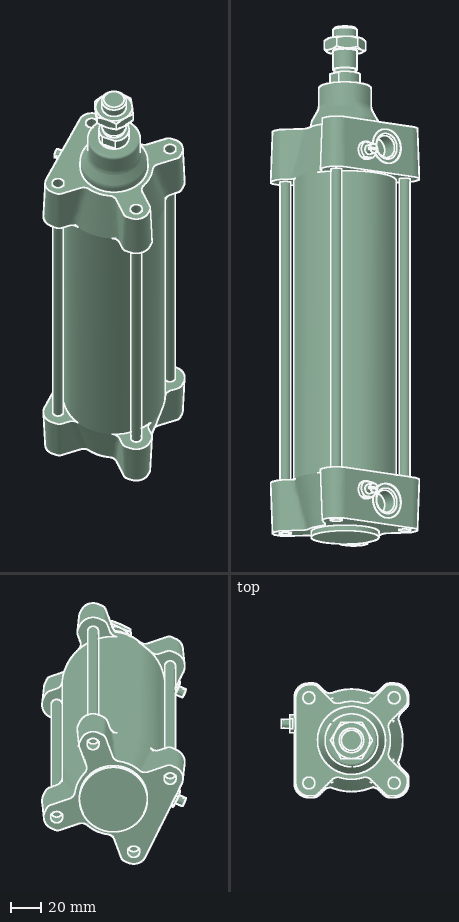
import cadquery as cq
import math

TOTAL_HEIGHT = 344.0
PILOT_HEIGHT = 3.8
HEAD_HEIGHT = 34.0
UPPER_HEAD_BASE = 240.8
UPPER_HEAD_TOP = UPPER_HEAD_BASE + HEAD_HEIGHT
LOWER_HEAD_TOP = PILOT_HEIGHT + HEAD_HEIGHT
MID_HEIGHT = (UPPER_HEAD_TOP + PILOT_HEIGHT) / 2

HEAD_WIDTH = 76.0
HEAD_HALF = HEAD_WIDTH / 2
HEAD_DRAFT = 2.0
TIE_ROD_OFFSET = 28.2
CORNER_RADIUS = HEAD_HALF - TIE_ROD_OFFSET
SHOULDER_START = 25.5
SHOULDER_RADIUS = 5.5
DOME_RADIUS_END = 25.8
WEB_FILLET = 5.0
SCREW_HOLE_DIAMETER = 8.0
SCREW_HOLE_DEPTH = 12.0

TUBE_DIAMETER = 68.0
TIE_ROD_DIAMETER = 7.2

PORT_Y = -7.0
PORT_RISE = 18.2
PORT_DIAMETER = 14.8
PORT_DEPTH = 12.0
PORT_CHAMFER = 1.2
SPOTFACE_DIAMETER = 23.0
SPOTFACE_FLOOR = 36.8
SCREW_Y = 11.0
SCREW_RISE = 13.0
OVERALL_WIDTH = 84.5
SCREW_REACH = OVERALL_WIDTH - HEAD_HALF
COLLAR_DIAMETER = 12.0
COLLAR_REACH = 41.0
COLLAR_FLATS = 10.0
COLLAR_FLATS_LENGTH = 2.0
TIP_DIAMETER = 6.2
SLOT_WIDTH = 1.0
SLOT_DEPTH = 1.7

PILOT_DIAMETER = 45.0
NOSE_DIAMETER = 35.0
NOSE_TOP = 304.5
NOSE_EDGE_RADIUS = 2.0
CONE_TOP = 289.0
CONE_BASE = 280.0
CONE_TOP_RADIUS = 6.2
CONE_BASE_RADIUS = 4.8

ROD_DIAMETER = 20.0
ROD_TOP = 312.7
ROD_FLATS = 17.5
FLATS_BASE = NOSE_TOP + 0.7
NECK_DIAMETER = 14.0
THREAD_DIAMETER = 16.0
THREAD_BASE = 315.8
THREAD_CHAMFER = 1.5

NUT_BASE = 328.2
NUT_HEIGHT = 8.0
NUT_FLATS = 24.0
NUT_CORNERS = NUT_FLATS / math.cos(math.pi / 6)
NUT_CHAMFER_ANGLE = 30

TIE_ROD_POINTS = [(x * TIE_ROD_OFFSET, y * TIE_ROD_OFFSET) for x in (-1, 1) for y in (-1, 1)]


def cylinder(diameter, bottom, top):
    """Cylinder on the Z axis between two heights."""
    return cq.Workplane("XY").workplane(offset=bottom).circle(diameter / 2).extrude(top - bottom)


def side_cylinder(diameter, y, z, inner, outer):
    """Cylinder along -X, between two distances from the axis."""
    return cq.Workplane("YZ", origin=(-outer, y, z)).circle(diameter / 2).extrude(outer - inner)


def taper_angle(base, end):
    """Draft angle that shrinks a half width from base to end over one head height."""
    return math.degrees(math.atan((base - end) / HEAD_HEIGHT))


def head_outline():
    """Square with round corners and a 90 degree notch in the -Y, +X and +Y sides."""
    diagonal = math.sqrt(0.5)
    shoulder_drop = SHOULDER_RADIUS * (1 - diagonal)
    shoulder_end = SHOULDER_START - SHOULDER_RADIUS * diagonal
    shoulder_mid = SHOULDER_START - SHOULDER_RADIUS * math.sin(math.pi / 8)
    shoulder_mid_drop = SHOULDER_RADIUS * (1 - math.cos(math.pi / 8))
    notch_depth = shoulder_drop + shoulder_end
    corner_mid = TIE_ROD_OFFSET + CORNER_RADIUS * diagonal

    outline = cq.Workplane("XY").moveTo(-TIE_ROD_OFFSET, -HEAD_HALF)
    for quarter in range(3):
        cos, sin = round(math.cos(quarter * math.pi / 2)), round(math.sin(quarter * math.pi / 2))

        def at(along, drop):
            out = drop - HEAD_HALF
            return (along * cos - out * sin, along * sin + out * cos)

        outline = (
            outline.lineTo(*at(-SHOULDER_START, 0))
            .threePointArc(at(-shoulder_mid, shoulder_mid_drop), at(-shoulder_end, shoulder_drop))
            .lineTo(*at(0, notch_depth))
            .lineTo(*at(shoulder_end, shoulder_drop))
            .threePointArc(at(shoulder_mid, shoulder_mid_drop), at(SHOULDER_START, 0))
            .lineTo(*at(TIE_ROD_OFFSET, 0))
            .threePointArc(at(corner_mid, HEAD_HALF - corner_mid), at(HEAD_HALF, CORNER_RADIUS))
        )
    return (
        outline.lineTo(-HEAD_HALF, -TIE_ROD_OFFSET)
        .threePointArc((-corner_mid, -corner_mid), (-TIE_ROD_OFFSET, -HEAD_HALF))
        .close()
    )


def head_block():
    """Four-armed head, rising from its tube-side face at Z = 0."""
    arms = head_outline().extrude(HEAD_HEIGHT, taper=HEAD_DRAFT)
    dome = (
        cq.Workplane("XY")
        .circle(TUBE_DIAMETER / 2)
        .extrude(HEAD_HEIGHT, taper=taper_angle(TUBE_DIAMETER / 2, DOME_RADIUS_END))
    )
    screw_holes = (
        cq.Workplane("XY", origin=(0, 0, HEAD_HEIGHT - SCREW_HOLE_DEPTH))
        .pushPoints(TIE_ROD_POINTS)
        .circle(SCREW_HOLE_DIAMETER / 2)
        .extrude(SCREW_HOLE_DEPTH)
    )
    block = arms.union(dome)
    return block.edges("%HYPERBOLA").fillet(WEB_FILLET).cut(screw_holes)


def air_port():
    """Spotfaced and chamfered blind port, as a cutting shape."""
    spotface = side_cylinder(SPOTFACE_DIAMETER, PORT_Y, PORT_RISE, SPOTFACE_FLOOR, HEAD_HALF)
    bore = side_cylinder(
        PORT_DIAMETER, PORT_Y, PORT_RISE, SPOTFACE_FLOOR - PORT_DEPTH, SPOTFACE_FLOOR
    )
    countersink = (
        cq.Workplane("YZ", origin=(-SPOTFACE_FLOOR, PORT_Y, PORT_RISE))
        .circle(PORT_DIAMETER / 2 + PORT_CHAMFER)
        .extrude(PORT_CHAMFER, taper=45)
    )
    return spotface.union(bore).union(countersink)


def cushion_screw():
    """Collar with two wrench flats and slotted tip of the cushioning screw."""
    collar = side_cylinder(COLLAR_DIAMETER, SCREW_Y, SCREW_RISE, SPOTFACE_FLOOR, COLLAR_REACH)
    for side in (-1, 1):
        flat_z = SCREW_RISE + side * (COLLAR_FLATS + COLLAR_DIAMETER) / 2
        flat = (
            cq.Workplane("YZ", origin=(-COLLAR_REACH, SCREW_Y, flat_z))
            .rect(COLLAR_DIAMETER, COLLAR_DIAMETER)
            .extrude(COLLAR_FLATS_LENGTH)
        )
        collar = collar.cut(flat)
    tip = side_cylinder(TIP_DIAMETER, SCREW_Y, SCREW_RISE, SPOTFACE_FLOOR, SCREW_REACH)
    slot = (
        cq.Workplane("YZ", origin=(-SCREW_REACH, SCREW_Y, SCREW_RISE))
        .rect(TIP_DIAMETER, SLOT_WIDTH)
        .extrude(SLOT_DEPTH)
    )
    return collar.union(tip.cut(slot))


def nose():
    """Stepped nose on the upper head: collar, filleted cone and cylindrical neck."""
    collar_radius = PILOT_DIAMETER / 2
    nose_radius = NOSE_DIAMETER / 2
    body = (
        cq.Workplane("XZ")
        .moveTo(0, UPPER_HEAD_TOP)
        .lineTo(collar_radius, UPPER_HEAD_TOP)
        .lineTo(collar_radius, CONE_BASE)
        .lineTo(nose_radius, CONE_TOP)
        .lineTo(nose_radius, NOSE_TOP)
        .lineTo(0, NOSE_TOP)
        .close()
        .revolve(360, (0, 0, 0), (0, 1, 0))
    )
    return (
        body.faces("%CONE").edges(">Z").fillet(CONE_TOP_RADIUS)
        .faces("%CONE").edges("<Z").fillet(CONE_BASE_RADIUS)
        .faces(">Z").edges().fillet(NOSE_EDGE_RADIUS)
    )


def make_housing():
    """Tube, tie rods, both heads, nose and pilot, with a blind bore for the piston rod."""
    head = head_block().cut(air_port()).union(cushion_screw())
    upper_head = head.translate((0, 0, UPPER_HEAD_BASE))
    lower_head = upper_head.mirror("XY", (0, 0, MID_HEIGHT))
    tie_rods = (
        cq.Workplane("XY", origin=(0, 0, LOWER_HEAD_TOP))
        .pushPoints(TIE_ROD_POINTS)
        .circle(TIE_ROD_DIAMETER / 2)
        .extrude(UPPER_HEAD_BASE - LOWER_HEAD_TOP)
    )
    return (
        cylinder(TUBE_DIAMETER, LOWER_HEAD_TOP, UPPER_HEAD_BASE)
        .union(upper_head)
        .union(lower_head)
        .union(tie_rods)
        .union(cylinder(PILOT_DIAMETER, 0, PILOT_HEIGHT))
        .union(nose())
        .cut(cylinder(ROD_DIAMETER, UPPER_HEAD_BASE, NOSE_TOP))
    )


def make_piston_rod():
    """Rod with two wrench flats, an undercut neck and a threaded end."""
    shaft = cylinder(ROD_DIAMETER, UPPER_HEAD_BASE, ROD_TOP)
    flats_height = ROD_TOP - FLATS_BASE
    for side in (-1, 1):
        flat = (
            cq.Workplane("XY", origin=(0, side * (ROD_FLATS + ROD_DIAMETER) / 2, FLATS_BASE))
            .rect(ROD_DIAMETER, ROD_DIAMETER)
            .extrude(flats_height)
        )
        shaft = shaft.cut(flat)
    neck = cylinder(NECK_DIAMETER, ROD_TOP, THREAD_BASE)
    thread = cylinder(THREAD_DIAMETER, THREAD_BASE, TOTAL_HEIGHT).faces(">Z").chamfer(THREAD_CHAMFER)
    return shaft.union(neck).union(thread)


def make_lock_nut():
    """Hexagon nut, corners along X, with conical chamfers on both ends."""
    corner_radius = NUT_CORNERS / 2
    flat_radius = NUT_FLATS / 2
    chamfer_drop = (corner_radius - flat_radius) * math.tan(math.radians(NUT_CHAMFER_ANGLE))
    hexagon = cq.Workplane("XY").polygon(6, NUT_CORNERS).extrude(NUT_HEIGHT)
    turned_blank = (
        cq.Workplane("XZ")
        .moveTo(0, 0)
        .lineTo(flat_radius, 0)
        .lineTo(corner_radius, chamfer_drop)
        .lineTo(corner_radius, NUT_HEIGHT - chamfer_drop)
        .lineTo(flat_radius, NUT_HEIGHT)
        .lineTo(0, NUT_HEIGHT)
        .close()
        .revolve(360, (0, 0, 0), (0, 1, 0))
    )
    return (
        hexagon.intersect(turned_blank)
        .translate((0, 0, NUT_BASE))
        .cut(cylinder(THREAD_DIAMETER, NUT_BASE, NUT_BASE + NUT_HEIGHT))
    )


housing = make_housing()
piston_rod = make_piston_rod()
lock_nut = make_lock_nut()

result = cq.Compound.makeCompound([housing.val(), piston_rod.val(), lock_nut.val()])